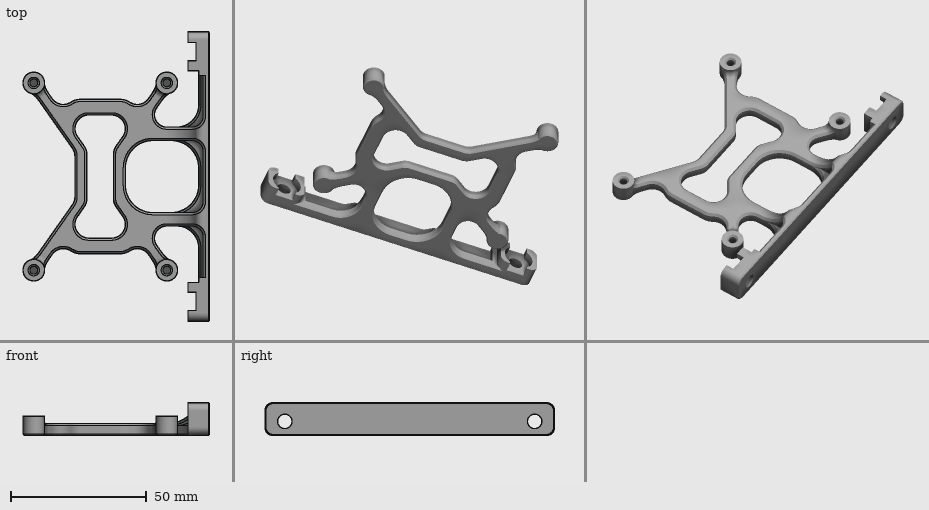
import cadquery as cq
import math


PART_DEPTH = 68.7
RAIL_LENGTH = 106.7
RAIL_HEIGHT = 12.2
RAIL_DEPTH = 4.1
RAIL_WALL = 2.3
BACK_CHAMFER = 0.4
POCKET_HALF_LENGTH = 37.1
POCKET_CORNER = 4.1

BLOCK_DEPTH = 8.0
BLOCK_INNER_Y = 39.0
BLOCK_ROUND = 3.0
SCREW_Y = 46.0
SCREW_Z = 5.2
SCREW_DIAMETER = 5.2
HEAD_DIAMETER = 11.0
HEAD_DEPTH = 3.0
HEAD_SLOT_WIDTH = 6.6
SLOT_LIP_CHAMFER = 0.5
HEAD_FLOOR_X = HEAD_DEPTH - BLOCK_DEPTH

PLATE_THICKNESS = 4.5
TOP_CHAMFER = 0.9
BOTTOM_CHAMFER = 0.5
FRONT_X = -49.6
TOP_Y = 28.5
CORNER_ROUND = 5.0
BAR_WIDTH = 4.5
WAIST_FRONT_X = FRONT_X + BAR_WIDTH
WAIST_BACK_X = -35.4
WINDOW_TOP_Y = 22.6
WAIST_KNEE_Y = 9.8
ROUND_WINDOW_FRONT_X = WAIST_BACK_X + BAR_WIDTH
ROUND_WINDOW_CORNER = 10.0
NOTCH_FRONT_ROUND = 4.5
NOTCH_BACK_ROUND = 8.0

BOSS_DIAMETER = 8.0
BOSS_HEIGHT = 7.2
BOSS_FRONT_X = -PART_DEPTH + BOSS_DIAMETER / 2
BOSS_SPACING = 49.0
BOSS_BACK_X = BOSS_FRONT_X + BOSS_SPACING
BOSS_Y = 34.5
BOSS_HOLE = 2.9
BOSS_HOLE_CHAMFER = 0.6
BOSS_HOLE_DEPTH = 5.3
BOSS_FILLET = 2.0
ARM_HALF_WIDTH = 2.2
FLARE_RADIUS = 10.1
FLARE_START = 2.2
FLARE_END = 6.3
ARM_ANGLE = math.radians(54.9)
VALLEY_Y = 26.6
VALLEY_RADIUS = 5.0
SHOULDER_RADIUS = 6.6

RIB_INNER_Y = 13.2
RIB_OUTER_Y = 18.2
RIB_FRONT_X = -29.3
RIB_RISE_X = -15.5
RIB_CONCAVE_RADIUS = 12.0
RIB_CONVEX_RADIUS = 3.0
RIB_BASE_Z = 2.1

FRAME_BACK_X = -RAIL_WALL / 2
FRAME_END_Y = BLOCK_INNER_Y + BLOCK_ROUND

TOL = 0.01

MID_X = (BOSS_FRONT_X + BOSS_BACK_X) / 2
ARM_COS = math.cos(ARM_ANGLE)
ARM_SIN = math.sin(ARM_ANGLE)


def box(x0, x1, y0, y1, z0, z1):
    return cq.Workplane("XY").box(x1 - x0, y1 - y0, z1 - z0, centered=False).translate((x0, y0, z0))


def mirrored(body):
    """The body together with its mirror image across Y = 0."""
    return body.union(body.mirror("XZ"))


def arm_point(along, across):
    """Point in front-arm coordinates: along runs inward from the boss, across runs toward the back."""
    x = BOSS_FRONT_X + along * ARM_COS + across * ARM_SIN
    y = BOSS_Y - along * ARM_SIN + across * ARM_COS
    return x, y


def opposite(point):
    """The same point on the back arm."""
    return 2 * MID_X - point[0], point[1]


def on_circle(center, radius, degrees):
    """Point on a circle at an angle counted from the first axis."""
    angle = math.radians(degrees)
    return center[0] + radius * math.cos(angle), center[1] + radius * math.sin(angle)


FLARE_CENTER = (FLARE_END, ARM_HALF_WIDTH + FLARE_RADIUS)
FLARE_TURN = math.degrees(math.asin((FLARE_END - FLARE_START) / FLARE_RADIUS))

VALLEY_ACROSS = ARM_HALF_WIDTH + VALLEY_RADIUS
VALLEY_CENTER_Y = VALLEY_Y + VALLEY_RADIUS
VALLEY_ALONG = (BOSS_Y + VALLEY_ACROSS * ARM_COS - VALLEY_CENTER_Y) / ARM_SIN
VALLEY_CENTER = arm_point(VALLEY_ALONG, VALLEY_ACROSS)
S_RADII = VALLEY_RADIUS + SHOULDER_RADIUS
S_ANGLE = math.degrees(math.acos(1 - (TOP_Y - VALLEY_Y) / S_RADII))
SHOULDER_CENTER = (
    VALLEY_CENTER[0] + S_RADII * math.sin(math.radians(S_ANGLE)),
    TOP_Y - SHOULDER_RADIUS,
)


def frame_outline():
    """Solid frame plate with its arms and the notches beside the rail, still without windows."""
    elbow_along = (FRONT_X - arm_point(0, -ARM_HALF_WIDTH)[0]) / ARM_COS
    elbow = arm_point(elbow_along, -ARM_HALF_WIDTH)
    flare = [
        on_circle(FLARE_CENTER, FLARE_RADIUS, -90 - turn)
        for turn in (FLARE_TURN, FLARE_TURN / 2, 0)
    ]
    high_flare = [arm_point(along, across) for along, across in flare]
    low_flare = [arm_point(along, -across) for along, across in reversed(flare)]
    valley_start = arm_point(VALLEY_ALONG, ARM_HALF_WIDTH)
    valley_low = on_circle(VALLEY_CENTER, VALLEY_RADIUS, -90)
    valley_end = on_circle(VALLEY_CENTER, VALLEY_RADIUS, S_ANGLE - 90)
    shoulder_mid = on_circle(SHOULDER_CENTER, SHOULDER_RADIUS, 90 + S_ANGLE / 2)
    shoulder_end = on_circle(SHOULDER_CENTER, SHOULDER_RADIUS, 90)

    notch_center_y = RIB_OUTER_Y + NOTCH_FRONT_ROUND
    notch_across = -ARM_HALF_WIDTH - NOTCH_FRONT_ROUND
    notch_along = (BOSS_Y + notch_across * ARM_COS - notch_center_y) / ARM_SIN
    notch_center = opposite(arm_point(notch_along, notch_across))
    notch_start = opposite(arm_point(notch_along, -ARM_HALF_WIDTH))
    notch_front = (notch_center[0] - NOTCH_FRONT_ROUND, notch_center_y)
    notch_end_x = -RAIL_DEPTH - NOTCH_BACK_ROUND
    notch_back_center = (notch_end_x, RIB_OUTER_Y + NOTCH_BACK_ROUND)

    half = (
        cq.Workplane("XY")
        .moveTo(FRONT_X, 0)
        .lineTo(*elbow)
        .lineTo(*low_flare[0])
        .threePointArc(*low_flare[1:])
        .lineTo(*high_flare[0])
        .threePointArc(*high_flare[1:])
        .lineTo(*valley_start)
        .threePointArc(valley_low, valley_end)
        .threePointArc(shoulder_mid, shoulder_end)
        .lineTo(*opposite(shoulder_end))
        .threePointArc(opposite(shoulder_mid), opposite(valley_end))
        .threePointArc(opposite(valley_low), opposite(valley_start))
        .lineTo(*opposite(high_flare[2]))
        .threePointArc(opposite(high_flare[1]), opposite(high_flare[0]))
        .lineTo(*opposite(low_flare[2]))
        .threePointArc(opposite(low_flare[1]), opposite(low_flare[0]))
        .lineTo(*notch_start)
        .threePointArc(notch_front, (notch_center[0], RIB_OUTER_Y))
        .lineTo(notch_end_x, RIB_OUTER_Y)
        .threePointArc(
            on_circle(notch_back_center, NOTCH_BACK_ROUND, -45),
            (-RAIL_DEPTH, RIB_OUTER_Y + NOTCH_BACK_ROUND),
        )
        .lineTo(-RAIL_DEPTH, FRAME_END_Y)
        .lineTo(FRAME_BACK_X, FRAME_END_Y)
        .lineTo(FRAME_BACK_X, 0)
        .close()
        .extrude(PLATE_THICKNESS)
    )
    elbow_edge = cq.selectors.NearestToPointSelector((elbow[0], elbow[1], PLATE_THICKNESS / 2))
    return mirrored(half.edges("|Z").edges(elbow_edge).fillet(CORNER_ROUND))


def waisted_window():
    """Window with two wide ends and a narrow waist, its flanks parallel to the arms."""
    flare = (WINDOW_TOP_Y - WAIST_KNEE_Y) * ARM_COS / ARM_SIN
    front = [
        (WAIST_FRONT_X - flare, -WINDOW_TOP_Y),
        (WAIST_FRONT_X, -WAIST_KNEE_Y),
        (WAIST_FRONT_X, WAIST_KNEE_Y),
        (WAIST_FRONT_X - flare, WINDOW_TOP_Y),
    ]
    back = [(WAIST_FRONT_X + WAIST_BACK_X - x, y) for x, y in reversed(front)]
    window = cq.Workplane("XY").polyline(front + back).close().extrude(PLATE_THICKNESS)
    return window.edges("|Z").fillet(CORNER_ROUND)


def round_window():
    """Nearly round window between the two ribs."""
    window = box(
        ROUND_WINDOW_FRONT_X, -RAIL_DEPTH, -RIB_INNER_Y, RIB_INNER_Y, 0, PLATE_THICKNESS
    )
    return window.edges("|Z").fillet(ROUND_WINDOW_CORNER)


def boss_centers():
    return [(x, y) for x in (BOSS_FRONT_X, BOSS_BACK_X) for y in (-BOSS_Y, BOSS_Y)]


def boss_distance(edge):
    """Distance in plan from the middle of an edge to the nearest boss axis."""
    middle = edge.positionAt(0.5)
    return min(math.hypot(middle.x - x, middle.y - y) for x, y in boss_centers())


def plate_top_edges(frame):
    """Edges that lie level with the top of the plate."""
    edges = frame.edges().vals()
    bounds = [edge.BoundingBox() for edge in edges]
    return [
        edge
        for edge, bound in zip(edges, bounds)
        if bound.zlen < TOL and abs(bound.zmin - PLATE_THICKNESS) < TOL
    ]


def build_frame():
    """Plate with windows, bosses, root fillets and chamfered edges."""
    frame = frame_outline().cut(waisted_window()).cut(round_window())
    frame = frame.faces("<Z").edges().chamfer(BOTTOM_CHAMFER)
    bosses = cq.Workplane("XY").pushPoints(boss_centers()).circle(BOSS_DIAMETER / 2).extrude(BOSS_HEIGHT)
    bosses = bosses.faces("<Z").edges().chamfer(BOTTOM_CHAMFER)
    frame = frame.union(bosses)
    boss_radius = BOSS_DIAMETER / 2
    roots = [edge for edge in plate_top_edges(frame) if boss_distance(edge) < boss_radius + TOL]
    frame = frame.newObject(roots).fillet(BOSS_FILLET)
    fillet_end = boss_radius + BOSS_FILLET
    rim = [edge for edge in plate_top_edges(frame) if boss_distance(edge) > fillet_end + TOL]
    return frame.newObject(rim).chamfer(TOP_CHAMFER)


def boss_holes():
    """Blind holes with a countersunk mouth, from the boss tops."""
    radius = BOSS_HOLE / 2
    floor = BOSS_HEIGHT - BOSS_HOLE_DEPTH
    hole = (
        cq.Workplane("XZ")
        .moveTo(0, floor)
        .lineTo(radius, floor)
        .lineTo(radius, BOSS_HEIGHT - BOSS_HOLE_CHAMFER)
        .lineTo(radius + BOSS_HOLE_CHAMFER, BOSS_HEIGHT)
        .lineTo(0, BOSS_HEIGHT)
        .close()
        .revolve(360, (0, 0, 0), (0, 1, 0))
    )
    holes = cq.Workplane("XY")
    for x, y in boss_centers():
        holes = holes.union(hole.translate((x, y, 0)))
    return holes


def build_ribs_and_wall():
    """Rail wall and the two ribs that sweep up to it, with all pocket rims chamfered."""
    radii = RIB_CONCAVE_RADIUS + RIB_CONVEX_RADIUS
    sweep = math.degrees(math.acos(1 - (RAIL_HEIGHT - PLATE_THICKNESS) / radii))
    concave_center = (RIB_RISE_X, PLATE_THICKNESS + RIB_CONCAVE_RADIUS)
    convex_x = RIB_RISE_X + radii * math.sin(math.radians(sweep))
    convex_center = (convex_x, RAIL_HEIGHT - RIB_CONVEX_RADIUS)
    body = (
        cq.Workplane("XZ")
        .moveTo(RIB_FRONT_X, RIB_BASE_Z)
        .lineTo(RIB_FRONT_X, PLATE_THICKNESS)
        .lineTo(RIB_RISE_X, PLATE_THICKNESS)
        .threePointArc(
            on_circle(concave_center, RIB_CONCAVE_RADIUS, sweep / 2 - 90),
            on_circle(concave_center, RIB_CONCAVE_RADIUS, sweep - 90),
        )
        .threePointArc(
            on_circle(convex_center, RIB_CONVEX_RADIUS, 90 + sweep / 2),
            on_circle(convex_center, RIB_CONVEX_RADIUS, 90),
        )
        .lineTo(0, RAIL_HEIGHT)
        .lineTo(0, RIB_BASE_Z)
        .close()
        .extrude(POCKET_HALF_LENGTH, both=True)
    )
    middle = box(RIB_FRONT_X, -RAIL_WALL, -RIB_INNER_Y, RIB_INNER_Y, 0, RAIL_HEIGHT)
    middle = middle.edges("|Z and >X").fillet(POCKET_CORNER)
    side = box(RIB_FRONT_X, -RAIL_WALL, RIB_OUTER_Y, POCKET_HALF_LENGTH, 0, RAIL_HEIGHT)
    side = side.edges("|Z and >X and <Y").fillet(POCKET_CORNER)
    body = body.cut(middle).cut(mirrored(side))
    return body.newObject(pocket_rims(body)).chamfer(TOP_CHAMFER)


def pocket_rims(body):
    """Upper edges of the pockets, along the rib sides, the corner rounds and the wall."""
    rims = []
    for edge in body.edges().vals():
        bounds = edge.BoundingBox()
        above_base = bounds.zmin > PLATE_THICKNESS - TOL
        on_back = bounds.xmin > -TOL
        upright = bounds.xlen < TOL and bounds.ylen < TOL
        across_rib = bounds.xlen < TOL and bounds.ylen < RIB_OUTER_Y - RIB_INNER_Y + TOL
        on_end = bounds.ylen < TOL and abs(edge.Center().y) > POCKET_HALF_LENGTH - TOL
        if above_base and not (on_back or upright or across_rib or on_end):
            rims.append(edge)
    return rims


def build_end_block():
    """Solid rail end at +Y, with the narrower web that closes the pocket beside it."""
    block = box(-BLOCK_DEPTH, 0, BLOCK_INNER_Y, RAIL_LENGTH / 2, 0, RAIL_HEIGHT)
    block = block.edges("|X and >Y").fillet(BLOCK_ROUND)
    block = block.edges("|X and <Y and <Z").fillet(BLOCK_ROUND)
    web = box(-RAIL_DEPTH, 0, POCKET_HALF_LENGTH, FRAME_END_Y, BOTTOM_CHAMFER, RAIL_HEIGHT)
    return block.union(web)


def screw_cutter():
    """Screw hole, round head seat and open vertical slot of the block at +Y."""
    head = cq.Workplane("YZ", origin=(-BLOCK_DEPTH, SCREW_Y, SCREW_Z)).circle(HEAD_DIAMETER / 2)
    hole = cq.Workplane("YZ", origin=(-BLOCK_DEPTH, SCREW_Y, SCREW_Z)).circle(SCREW_DIAMETER / 2)
    half_slot = HEAD_SLOT_WIDTH / 2
    slot = box(
        -BLOCK_DEPTH, HEAD_FLOOR_X, SCREW_Y - half_slot, SCREW_Y + half_slot, 0, RAIL_HEIGHT
    )
    return slot.union(head.extrude(HEAD_DEPTH)).union(hole.extrude(BLOCK_DEPTH))


def slot_lip_chamfer():
    """Wedge that bevels the lower edge of the screw-head floor at the -Y end."""
    wedge = [(HEAD_FLOOR_X, 0), (HEAD_FLOOR_X + SLOT_LIP_CHAMFER, 0), (HEAD_FLOOR_X, SLOT_LIP_CHAMFER)]
    start_y = HEAD_SLOT_WIDTH / 2 - SCREW_Y
    return cq.Workplane("XZ", origin=(0, start_y, 0)).polyline(wedge).close().extrude(HEAD_SLOT_WIDTH)


low_bar = box(-RAIL_WALL, 0, -FRAME_END_Y, FRAME_END_Y, 0, PLATE_THICKNESS)

part = (
    build_frame()
    .union(build_ribs_and_wall())
    .union(low_bar)
    .union(mirrored(build_end_block()))
    .clean()
)
part = part.faces(">X").edges().chamfer(BACK_CHAMFER)
part = part.cut(boss_holes()).cut(mirrored(screw_cutter())).cut(slot_lip_chamfer())
result = part.solids()